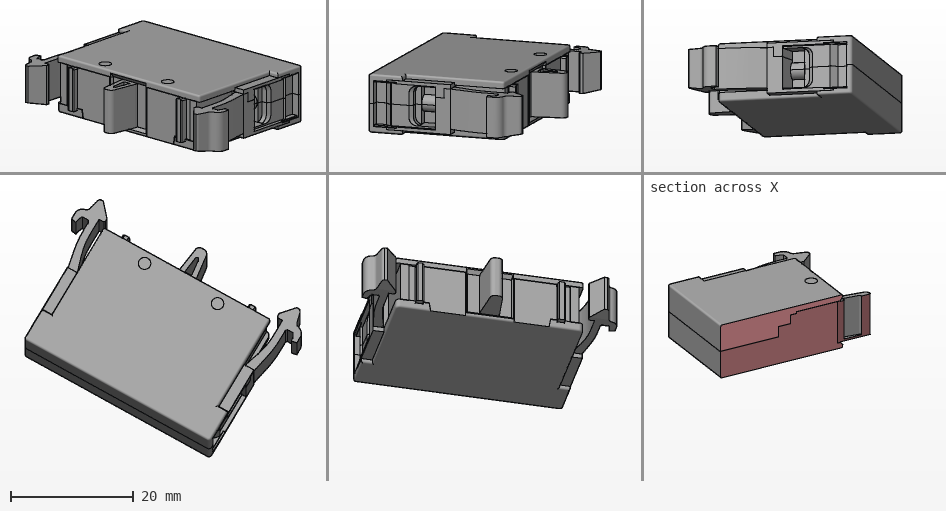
import cadquery as cq
import math

case_height = 9.7
case_length = 23.0
case_half_width = 17.5
narrow_half_width = 15.7
half_height = case_height / 2
edge_radius = 0.35
rear_corner_radius = 0.5
cover_corner_radius = 0.4
base_corner_radius = 0.75

shoulder_half_width = 17.55
shoulder_half_height = 4.15
shoulder_front = 8.7
shoulder_rear = 19.8
notch_rear = 17.05

rear_joint_z = 0.0
middle_joint_z = 1.85
arm_joint_z = 3.45
front_joint_z = 3.75
middle_joint_y = 12.1
arm_joint_y = 9.75

arm_top = arm_joint_z
arm_bottom = -3.3
relief_half_width = 14.95
arm_root_overlap = 0.2
arm_bend_start = 5.6
arm_bend_end = 1.75
nose_taper_start = -1.9
nose_tip_y = -4.2
nose_tip_bottom = -2.9

panel_setback = 0.13
tab_inner_top = 10.18
tab_inner_bottom = 9.92
rim_half_width = 4.07
mouth_half_width = 3.9
rim_top = 4.4
rim_bottom = -4.3

strip_inner = 11.25
strip_width = 1.27
strip_tip_y = -0.85
strip_bottom = -3.7
strip_chamfer = 0.25
strip_front_bevel = 0.1
groove_outer = 13.53
groove_depth = 0.25

key_half_height = 3.75
key_plate_half_width = 3.7
key_plate_front = 0.5
key_plate_thickness = 0.42
key_root_half_width = 1.6
key_neck_half_width = 1.0
key_neck_y = -4.55
key_tip_half_width = 0.15
key_shoulder_half_width = 0.7
key_shoulder_y = -5.0
key_tip_y = -5.17
slot_root_half_width = 0.65
slot_root_y = -0.3
slot_end_half_width = 0.3
slot_end_y = -3.22
slot_tip_y = -3.45
slot_floor_thickness = 0.42

pin_radius = 1.0
pin_x = 6.85
pin_y = 2.05

window_rear = 22.05
window_rear_half_height = 3.8
window_half_height = 3.6
window_step_y = 18.15
window_front = 11.3
rear_floor_depth = 1.35
ridge_rear = 20.3
ridge_front = 19.2
ridge_depth = 0.35
floor_depth = 0.75
pocket_half_height = 3.3
pocket_front = middle_joint_y
pocket_rear = 15.52
pocket_depth = 2.1
pocket_corner_radius = 1.3
pocket_bevel_length = 0.65
pocket_bevel_depth = 0.42
well_rear = 14.5
well_depth = 3.7
bump_radius = 1.4


def box(x0, x1, y0, y1, z0, z1):
    """Box between two corner points."""
    size = (x1 - x0, y1 - y0, z1 - z0)
    return cq.Workplane("XY").box(*size, centered=False).translate((x0, y0, z0))


def prism_z(points, z0, z1):
    """Straight-sided outline in X and Y, extruded from z0 to z1."""
    return cq.Workplane("XY", origin=(0, 0, z0)).polyline(points).close().extrude(z1 - z0)


def mirrored(body):
    """The body and its mirror image across X = 0."""
    return [body, body.mirror("YZ")]


def case_block(front_corner_radius):
    """T-shaped slab with rounded top and bottom edges, plus the shoulders along its sides."""
    narrow = box(-narrow_half_width, narrow_half_width, 0, case_length, -half_height, half_height)
    narrow = narrow.edges("|Z and <Y").fillet(front_corner_radius)
    wide = box(-case_half_width, case_half_width, notch_rear, case_length, -half_height, half_height)
    wide = wide.edges("|Z and >Y").fillet(rear_corner_radius)
    block = narrow.union(wide).faces("<Z or >Z").edges().fillet(edge_radius)
    shoulders = box(
        -shoulder_half_width, shoulder_half_width, shoulder_front, shoulder_rear,
        -shoulder_half_height, shoulder_half_height,
    )
    return block.union(shoulders)


def window_pocket(face):
    """Pocket with rounded rear corners, and the bevel that widens its rear rim."""
    def outline(depth, rear, radius):
        """Wire of the pocket in the plane at this depth."""
        half = pocket_half_height
        slant = radius * (1 - math.sqrt(0.5))
        return (
            cq.Workplane("YZ", origin=(face + depth, 0, 0))
            .moveTo(pocket_front, -half)
            .lineTo(rear - radius, -half)
            .threePointArc((rear - slant, -half + slant), (rear, -half + radius))
            .lineTo(rear, half - radius)
            .threePointArc((rear - slant, half - slant), (rear - radius, half))
            .lineTo(pocket_front, half)
            .close()
            .val()
        )

    rim = outline(floor_depth, pocket_rear + pocket_bevel_length, pocket_corner_radius)
    inner = outline(floor_depth + pocket_bevel_depth, pocket_rear, pocket_corner_radius)
    bevel = cq.Workplane(cq.Solid.makeLoft([rim, inner], True))
    pocket = cq.Workplane("YZ", origin=(face + floor_depth, 0, 0)).add(
        outline(floor_depth, pocket_rear, pocket_corner_radius)
    )
    return pocket.toPending().extrude(pocket_depth - floor_depth).union(bevel)


def side_window():
    """Cutter for the stepped window in the left side."""
    face = -shoulder_half_width
    opening = prism_z(
        [
            (face, ridge_rear),
            (face + rear_floor_depth, ridge_rear),
            (face + ridge_depth, ridge_front),
            (face + floor_depth, ridge_front),
            (face + floor_depth, window_front),
            (face, window_front),
        ],
        -window_half_height, window_half_height,
    )
    rear_half_heights = [
        (ridge_rear, rear_floor_depth, window_half_height),
        (window_step_y, ridge_depth, window_rear_half_height),
    ]
    for start_y, depth, half in rear_half_heights:
        opening = opening.union(box(face, face + depth, start_y, window_rear, -half, half))
    well = prism_z(
        [
            (face, well_rear),
            (face + well_depth, well_rear),
            (face + well_depth, pocket_front),
            (face + floor_depth, window_front),
            (face, window_front),
        ],
        -pocket_half_height, pocket_half_height,
    )
    bump = cq.Workplane("XZ", origin=(face + well_depth, well_rear, 0)).circle(bump_radius)
    bump = bump.extrude(well_rear - pocket_front)
    return opening.union(window_pocket(face)).union(well.cut(bump))


def above_joint():
    """Space above the stepped joint surface, used to part the cover from the base."""
    margin = 0.42
    outline = [
        (-margin, front_joint_z),
        (shoulder_front, front_joint_z),
        (shoulder_front, arm_joint_z),
        (arm_joint_y, arm_joint_z),
        (arm_joint_y, middle_joint_z),
        (middle_joint_y, middle_joint_z),
        (middle_joint_y, rear_joint_z),
        (case_length + margin, rear_joint_z),
        (case_length + margin, half_height + margin),
        (-margin, half_height + margin),
    ]
    reach = shoulder_half_width + margin
    return cq.Workplane("YZ", origin=(-reach, 0, 0)).polyline(outline).close().extrude(2 * reach)


def key_seat():
    """Cutter for the front opening: walls that slope in to the key plate, and the plate's pocket."""
    mouth_height = rim_top - rim_bottom
    mouth_middle = (rim_top + rim_bottom) / 2
    slope = (
        cq.Workplane("XZ")
        .center(0, mouth_middle)
        .rect(2 * mouth_half_width, mouth_height)
        .workplane(offset=-key_plate_front)
        .center(0, -mouth_middle)
        .rect(2 * key_plate_half_width, 2 * key_half_height)
        .loft(ruled=True)
    )
    return slope.union(key_plate())


def key_plate():
    """Plate at the back of the coding key."""
    return box(
        -key_plate_half_width, key_plate_half_width,
        key_plate_front, key_plate_front + key_plate_thickness,
        -key_half_height, key_half_height,
    )


def coding_key():
    """Tapered tongue with a wedge-shaped slot, standing on a plate."""
    tongue = (
        cq.Workplane("XY", origin=(0, 0, -key_half_height))
        .moveTo(-key_root_half_width, key_plate_front)
        .lineTo(-key_root_half_width, 0)
        .lineTo(-key_neck_half_width, key_neck_y)
        .threePointArc((-key_shoulder_half_width, key_shoulder_y), (-key_tip_half_width, key_tip_y))
        .lineTo(key_tip_half_width, key_tip_y)
        .threePointArc((key_shoulder_half_width, key_shoulder_y), (key_neck_half_width, key_neck_y))
        .lineTo(key_root_half_width, 0)
        .lineTo(key_root_half_width, key_plate_front)
        .close()
        .extrude(2 * key_half_height)
    )
    slot = (
        cq.Workplane("XY", origin=(0, 0, -key_half_height + slot_floor_thickness))
        .moveTo(-slot_root_half_width, slot_root_y)
        .lineTo(-slot_end_half_width, slot_end_y)
        .threePointArc((0, slot_tip_y), (slot_end_half_width, slot_end_y))
        .lineTo(slot_root_half_width, slot_root_y)
        .close()
        .extrude(2 * key_half_height)
    )
    return key_plate().union(tongue).cut(slot)


def contact_strip():
    """Left strip, seated in its groove, with a bevelled front and a roof-shaped top."""
    outer = -strip_inner - strip_width
    back = panel_setback + groove_depth
    strip = prism_z(
        [
            (outer, back),
            (outer, strip_tip_y + strip_front_bevel),
            (outer + strip_chamfer, strip_tip_y),
            (-strip_inner - strip_chamfer, strip_tip_y),
            (-strip_inner, strip_tip_y + strip_front_bevel),
            (-strip_inner, back),
        ],
        strip_bottom, front_joint_z,
    )
    return strip.edges("|Y and >Z").chamfer(strip_chamfer)


def pin():
    """Left pin, flush with the top and standing on the base."""
    start = cq.Workplane("XY", origin=(-pin_x, pin_y, front_joint_z))
    return start.circle(pin_radius).extrude(half_height - front_joint_z)


def latch_arm():
    """Left arm: a bent spring leg ending in a hook with a wedge nose and a finger grip."""
    outline = (
        cq.Workplane("XY", origin=(0, 0, arm_bottom))
        .moveTo(-case_half_width, shoulder_front + arm_root_overlap)
        .lineTo(-case_half_width, shoulder_front)
        .lineTo(-18.15, arm_bend_start)
        .threePointArc((-18.45, 3.7), (-18.55, arm_bend_end))
        .lineTo(-18.55, 0.1)
        .lineTo(-18.75, -0.15)
        .lineTo(-19.85, -0.15)
        .threePointArc((-20.15, 0.45), (-20.27, 1.2))
        .lineTo(-21.2, 1.0)
        .lineTo(-21.2, -0.15)
        .threePointArc((-20.82, -1.05), (-19.98, -1.5))
        .threePointArc((-19.65, -1.75), (-19.45, -2.1))
        .lineTo(-19.1, -3.7)
        .threePointArc((-18.95, -4.0), (-18.7, nose_tip_y))
        .lineTo(-18.2, nose_tip_y)
        .lineTo(-16.2, -1.9)
        .lineTo(-16.2, -1.4)
        .lineTo(-16.35, -1.15)
        .lineTo(-17.25, -1.15)
        .lineTo(-17.25, arm_bend_end)
        .threePointArc((-17.15, 3.7), (-16.7, arm_bend_start))
        .lineTo(-15.9, 8.2)
        .lineTo(-15.9, shoulder_front + arm_root_overlap)
        .close()
    )
    arm = outline.extrude(arm_top - arm_bottom)
    taper = (
        cq.Workplane("YZ", origin=(-shoulder_half_width - 4.25, 0, 0))
        .polyline([
            (nose_taper_start, arm_bottom),
            (nose_tip_y, nose_tip_bottom),
            (nose_tip_y, arm_bottom),
        ])
        .close()
        .extrude(8.5)
    )
    return arm.cut(taper)


def make_cover():
    """Upper part of the housing, with holes for the pins."""
    cover = case_block(cover_corner_radius).intersect(above_joint())
    for window in mirrored(side_window()):
        cover = cover.cut(window)
    cover = cover.cut(key_seat())
    for hole in mirrored(pin()):
        cover = cover.cut(hole)
    return cover


def arm_relief():
    """Cutter that frees the left arm from the side wall of the base."""
    return box(
        -shoulder_half_width, -relief_half_width, -0.42, shoulder_front,
        arm_bottom, front_joint_z,
    )


def panel_cut():
    """Cutter that sets the left half of the front panel back, leaving the tab and the rim proud."""
    return (
        cq.Workplane("XZ")
        .polyline([
            (-narrow_half_width, front_joint_z),
            (-narrow_half_width, arm_bottom),
            (-tab_inner_top, arm_bottom),
            (-tab_inner_bottom, -half_height),
            (-rim_half_width, -half_height),
            (-rim_half_width, front_joint_z),
        ])
        .close()
        .extrude(-panel_setback)
    )


def strip_groove():
    """Cutter for the left groove; the contact strip sits against its inner wall."""
    return box(
        -groove_outer, -strip_inner, 0, panel_setback + groove_depth, arm_bottom, front_joint_z,
    )


def make_base():
    """Lower part of the housing, with both latch arms."""
    base = case_block(base_corner_radius).cut(above_joint())
    left_cutters = [side_window(), arm_relief(), panel_cut(), strip_groove(), contact_strip()]
    for cutter in left_cutters:
        for copy in mirrored(cutter):
            base = base.cut(copy)
    base = base.cut(key_seat())
    for arm in mirrored(latch_arm()):
        base = base.union(arm)
    return base


cover = make_cover()
base = make_base()
key = coding_key()
strips = [strip.val() for strip in mirrored(contact_strip())]
pins = [one_pin.val() for one_pin in mirrored(pin())]

result = cq.Compound.makeCompound([cover.val(), base.val(), key.val(), *strips, *pins])